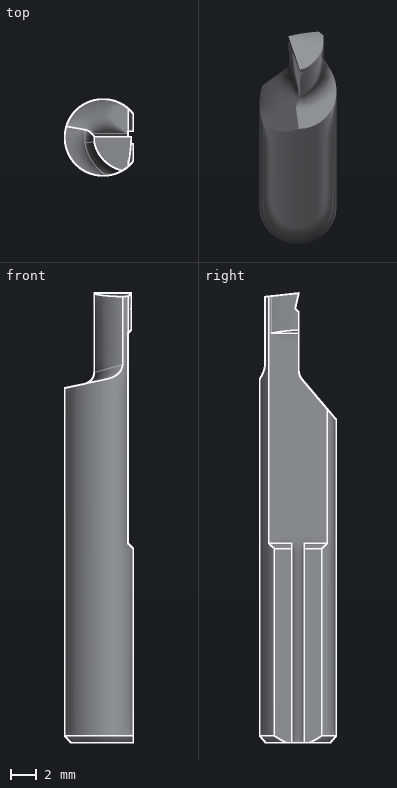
import cadquery as cq

LENGTH = 35.0
RADIUS = 6.0 / 2
CLAMP_FLAT_X = 5.35 - RADIUS
CHAMFER_HEIGHT = 0.55
CHAMFER_WIDTH = 0.5
GROOVE_WIDTH = 0.95

RELIEF_X = 1.95
RELIEF_BOTTOM = 15.12
RELIEF_TOP = 32.27
RELIEF_STEP = CLAMP_FLAT_X - RELIEF_X

NECK_LEFT_X = -0.7
NECK_FACE_Y = 0.07
NECK_SIDE_END_Y = -0.3
NECK_ARC_MID = (0.0, -1.7)
NECK_ARC_END = (1.58, -2.6)
NECK_RUNOUT_SLOPE = 0.3
BACK_FILLET = 1.12
SIDE_FILLET = 0.9

BACK_LOW_Z = 25.13
BACK_SLOPE = 1.18
SIDE_LOW_Z = 27.6
SIDE_SLOPE = 0.21

HEAD_EDGE_X = 2.2
HEAD_CLEARANCE_MID = (2.1, -1.3)
HEAD_CLEARANCE_END = (RELIEF_X, -2.1)
TOP_SLOPE = 0.11
RAKE_DEPTH = 0.28
RAKE_LOW_Z = 33.78

REACH = 2 * RADIUS


def prism_along_x(points):
    """Extrude a closed (y, z) outline across the whole shank along X."""
    return cq.Workplane("YZ").polyline(points).close().extrude(REACH, both=True)


def prism_along_y(points):
    """Extrude a closed (x, z) outline across the whole shank along Y."""
    return cq.Workplane("XZ").polyline(points).close().extrude(REACH, both=True)


def make_shank():
    foot_radius = RADIUS - CHAMFER_WIDTH
    outline = [(0, 0), (foot_radius, 0), (RADIUS, CHAMFER_HEIGHT), (RADIUS, LENGTH), (0, LENGTH)]
    return cq.Workplane("XZ").polyline(outline).close().revolve(360, (0, 0, 0), (0, 1, 0))


def make_back_cutter():
    """Space behind the flat neck face, above the steep shoulder and rounded into it."""
    ceiling = LENGTH + REACH
    face_foot_z = BACK_LOW_Z + BACK_SLOPE * (RADIUS - NECK_FACE_Y)
    low_z = BACK_LOW_Z + BACK_SLOPE * (RADIUS - REACH)
    space = prism_along_x([
        (NECK_FACE_Y, face_foot_z), (REACH, low_z), (REACH, ceiling), (NECK_FACE_Y, ceiling),
    ])
    foot_edge = cq.selectors.NearestToPointSelector((0, NECK_FACE_Y, face_foot_z))
    return space.edges(foot_edge).fillet(BACK_FILLET)


def make_side_cutter():
    """Space around the curved neck side, above the shallow shoulder and rounded into it."""
    ceiling = LENGTH + REACH
    space = prism_along_y([
        (-REACH, SIDE_LOW_Z + SIDE_SLOPE * (RADIUS - REACH)),
        (REACH, SIDE_LOW_Z + SIDE_SLOPE * (RADIUS + REACH)),
        (REACH, ceiling),
        (-REACH, ceiling),
    ])
    beyond = REACH + 0.35
    neck = (
        cq.Workplane("XY")
        .moveTo(beyond, beyond)
        .lineTo(NECK_LEFT_X, beyond)
        .lineTo(NECK_LEFT_X, NECK_SIDE_END_Y)
        .threePointArc(NECK_ARC_MID, NECK_ARC_END)
        .lineTo(beyond, NECK_ARC_END[1] - NECK_RUNOUT_SLOPE * (beyond - NECK_ARC_END[0]))
        .close()
        .extrude(2 * LENGTH)
    )
    cutter = space.cut(neck)
    foot_edges = cq.selectors.BoxSelector(
        (NECK_LEFT_X - 0.35, -REACH, SIDE_LOW_Z), (REACH - 0.35, REACH, SIDE_LOW_Z + RADIUS)
    )
    return cutter.edges(foot_edges).fillet(SIDE_FILLET)


def make_flat_cutter():
    """Clamping flat, and the deeper relieved flat between its two sloping ends."""
    return prism_along_y([
        (CLAMP_FLAT_X, -0.35),
        (CLAMP_FLAT_X, RELIEF_BOTTOM),
        (RELIEF_X, RELIEF_BOTTOM + RELIEF_STEP),
        (RELIEF_X, RELIEF_TOP - RELIEF_STEP),
        (CLAMP_FLAT_X, RELIEF_TOP),
        (CLAMP_FLAT_X, LENGTH + 0.35),
        (REACH, LENGTH + 0.35),
        (REACH, -0.35),
    ])


def make_groove_cutter():
    return cq.Workplane("XY").box(
        REACH, GROOVE_WIDTH, RELIEF_TOP - RELIEF_STEP, centered=(False, True, False)
    ).translate((RELIEF_X, 0, 0))


def make_head_clearance_cutter():
    """Curved clearance behind the cutting edge on the +X side of the head."""
    return (
        cq.Workplane("XY")
        .workplane(offset=RELIEF_TOP - 2 * RELIEF_STEP)
        .moveTo(HEAD_EDGE_X, REACH)
        .lineTo(HEAD_EDGE_X, NECK_FACE_Y)
        .threePointArc(HEAD_CLEARANCE_MID, HEAD_CLEARANCE_END)
        .lineTo(RELIEF_X, -REACH)
        .lineTo(REACH, -REACH)
        .lineTo(REACH, REACH)
        .close()
        .extrude(LENGTH)
    )


def make_rake_cutter():
    """Chip notch: a long sloping rake ending in a short 45 degree step."""
    return prism_along_x([
        (NECK_FACE_Y, LENGTH),
        (NECK_FACE_Y - RAKE_DEPTH, RAKE_LOW_Z),
        (NECK_FACE_Y, RAKE_LOW_Z - RAKE_DEPTH),
        (NECK_FACE_Y + RADIUS, RAKE_LOW_Z - RAKE_DEPTH),
        (NECK_FACE_Y + RADIUS, LENGTH),
    ])


def make_end_cutter():
    """Sloping end face, highest at the cutting edge."""
    drop = TOP_SLOPE * (REACH + NECK_FACE_Y)
    return prism_along_x([
        (NECK_FACE_Y, LENGTH),
        (-REACH, LENGTH - drop),
        (-REACH, LENGTH + RADIUS),
        (NECK_FACE_Y, LENGTH + RADIUS),
    ])


result = (
    make_shank()
    .cut(make_back_cutter())
    .cut(make_side_cutter())
    .cut(make_flat_cutter())
    .cut(make_groove_cutter())
    .cut(make_head_clearance_cutter())
    .cut(make_rake_cutter())
    .cut(make_end_cutter())
)